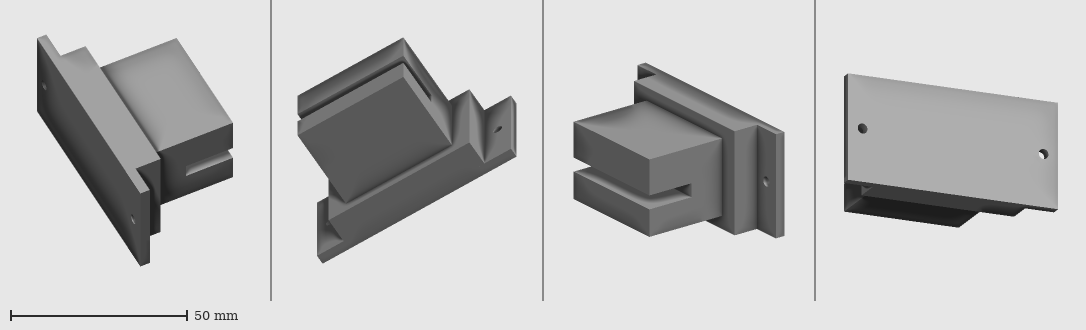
import cadquery as cq

plate_width = 65.0
plate_thickness = 3.0
plate_height = 32.0
screw_hole_diameter = 3.0
screw_hole_spacing = 56.0

collar_width = 47.2
collar_depth = 8.0
collar_height = plate_height

body_width = 35.5
body_depth = 26.0
body_height = 23.8
slot_depth = 15.0
slot_height = 4.3
slot_center_z = -1.3

collar_front = plate_thickness
body_front = collar_front + collar_depth
body_back = body_front + body_depth


def block(width, depth, height, front, center_z=0):
    """Box centred on X, reaching back along Y from its front face."""
    return cq.Workplane("XY").box(width, depth, height).translate((0, front + depth / 2, center_z))


def make_plate():
    """Flat plate with a screw hole near each end."""
    plate = block(plate_width, plate_thickness, plate_height, 0)
    screw_holes = (
        cq.Workplane("XZ")
        .pushPoints([(-screw_hole_spacing / 2, 0), (screw_hole_spacing / 2, 0)])
        .circle(screw_hole_diameter / 2)
        .extrude(-plate_thickness)
    )
    return plate.cut(screw_holes)


def make_collar():
    """Plain block between the plate and the rear body."""
    return block(collar_width, collar_depth, collar_height, collar_front)


def make_body():
    """Rear block, slotted across its full width from the back face."""
    slot = block(body_width, slot_depth, slot_height, body_back - slot_depth, slot_center_z)
    return block(body_width, body_depth, body_height, body_front).cut(slot)


plate = make_plate()
collar = make_collar()
body = make_body()

result = cq.Compound.makeCompound([plate.val(), collar.val(), body.val()])